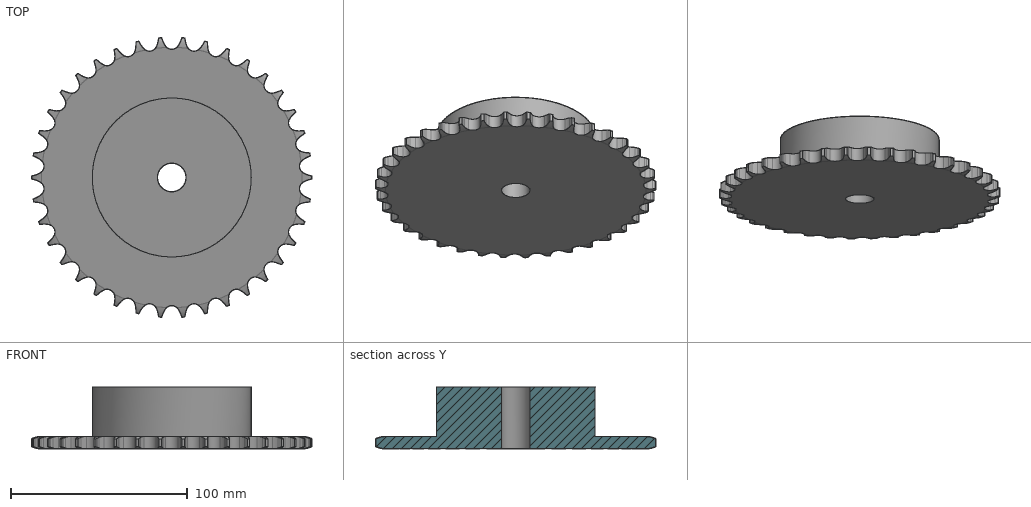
import cadquery as cq
import math

tooth_count = 38
tip_radius = 79.3
total_height = 35.0
plate_thickness = 7.1
hub_diameter = 90.0
bore_diameter = 16.0

relief_start_radius = 73.6
relief_radius = 12.7

chain_pitch = 12.7
roller_diameter = 8.5

seat_radius = roller_diameter / 2
working_radius = 11.1
straight_length = 1.3
topping_radius = 6.8
seat_half_angle = math.radians(53.4)
working_angle = math.radians(16.5)
cutter_clearance = 0.8

tooth_angle = 360 / tooth_count
pitch_radius = chain_pitch / (2 * math.sin(math.pi / tooth_count))


def relief_drop(radius):
    """Depth of the relief arc below the flat plate face at a given radius."""
    run = radius - relief_start_radius
    return relief_radius - math.sqrt(relief_radius**2 - run**2)


def make_plate_blank():
    """Round plate whose rim is rounded down from both faces."""
    middle_radius = (relief_start_radius + tip_radius) / 2
    tip_drop = relief_drop(tip_radius)
    middle_drop = relief_drop(middle_radius)
    return (
        cq.Workplane("XZ")
        .lineTo(relief_start_radius, 0)
        .threePointArc((middle_radius, middle_drop), (tip_radius, tip_drop))
        .lineTo(tip_radius, plate_thickness - tip_drop)
        .threePointArc(
            (middle_radius, plate_thickness - middle_drop),
            (relief_start_radius, plate_thickness),
        )
        .lineTo(0, plate_thickness)
        .close()
        .revolve(360, (0, 0, 0), (0, 1, 0))
    )


def arc_point(centre, radius, angle):
    """Point on an arc, with the angle measured from -X towards +Y.

    A negative radius gives the point on the opposite side of the centre.
    """
    return (centre[0] - radius * math.cos(angle), centre[1] + radius * math.sin(angle))


def make_gap_cutter():
    """Roller gap on the +X axis; each side is a chain of tangent arcs and a straight flank."""
    flank_angle = seat_half_angle + working_angle
    outer_x = tip_radius + cutter_clearance

    seat_centre = (pitch_radius, 0)
    seat_bottom = arc_point(seat_centre, seat_radius, 0)
    seat_end = arc_point(seat_centre, seat_radius, seat_half_angle)

    working_centre = arc_point(seat_end, -working_radius, seat_half_angle)
    working_middle = arc_point(working_centre, working_radius, seat_half_angle + working_angle / 2)
    working_end = arc_point(working_centre, working_radius, flank_angle)

    straight_end = (
        working_end[0] + straight_length * math.sin(flank_angle),
        working_end[1] + straight_length * math.cos(flank_angle),
    )

    topping_centre = arc_point(straight_end, topping_radius, flank_angle)
    outer_angle = math.acos((outer_x - topping_centre[0]) / topping_radius)
    topping_middle = arc_point(topping_centre, -topping_radius, (flank_angle + outer_angle) / 2)
    topping_end = arc_point(topping_centre, -topping_radius, outer_angle)

    def mirrored(point):
        return (point[0], -point[1])

    return (
        cq.Workplane("XY")
        .moveTo(*mirrored(seat_end))
        .threePointArc(seat_bottom, seat_end)
        .threePointArc(working_middle, working_end)
        .lineTo(*straight_end)
        .threePointArc(topping_middle, topping_end)
        .lineTo(*mirrored(topping_end))
        .threePointArc(mirrored(topping_middle), mirrored(straight_end))
        .lineTo(*mirrored(working_end))
        .threePointArc(mirrored(working_middle), mirrored(seat_end))
        .close()
        .extrude(plate_thickness)
    )


plate = make_plate_blank()
gap_cutter = make_gap_cutter()
for index in range(tooth_count):
    gap_angle = (index + 0.5) * tooth_angle
    plate = plate.cut(gap_cutter.rotate((0, 0, 0), (0, 0, 1), gap_angle))

hub = cq.Workplane("XY").circle(hub_diameter / 2).extrude(total_height)
bore = cq.Workplane("XY").circle(bore_diameter / 2).extrude(total_height)
result = plate.union(hub).cut(bore)